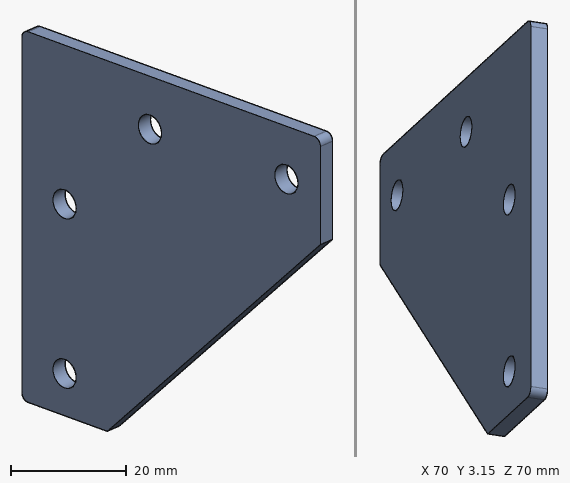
import cadquery as cq

side = 70.0
thickness = 3.15
arm_width = 20.0
corner_radius = 1.5
hole_diameter = 5.4
hole_inset = 10.0
near_hole = 30.0
far_hole = 62.0

outline = [
    (0, 0),
    (arm_width, 0),
    (side, side - arm_width),
    (side, side),
    (0, side),
]
plate = cq.Workplane("XZ").polyline(outline).close().extrude(-thickness)

for corner in [(0, 0), (0, side), (side, side)]:
    corner_edge = cq.selectors.NearestToPointSelector((corner[0], thickness / 2, corner[1]))
    plate = plate.edges("|Y").edges(corner_edge).fillet(corner_radius)

hole_centers = []
for distance in (near_hole, far_hole):
    hole_centers.append((distance, side - hole_inset))
    hole_centers.append((hole_inset, side - distance))
holes = (
    cq.Workplane("XZ")
    .pushPoints(hole_centers)
    .circle(hole_diameter / 2)
    .extrude(-thickness)
)

result = plate.cut(holes)